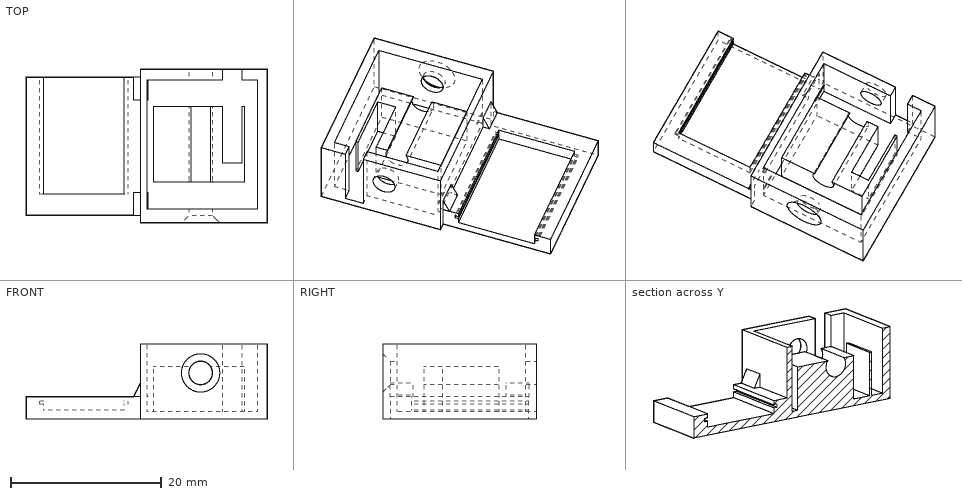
import cadquery as cq


housing_length = 16.9
housing_width = 20.45
housing_height = 10.0
wall_left = 0.9
wall_right = 1.33
wall_front = 1.85
wall_back = 1.45
floor_thickness = 1.0

tray_length = 15.21
tray_width = 18.4
tray_height = 3.0
tray_front_y = 1.0
tray_back_y = tray_front_y + tray_width

recess_floor_z = 1.2
recess_left_x = 2.3
recess_length = 10.75
recess_front_rim = 2.83
groove_bottom_z = 2.0
groove_height = 0.4
groove_depth = 0.5

ridge_length = 3.05
ridge_base = 1.9
ridge_rise = 1.9
ridge_left_x = 14.3
ridge_overhang = 0.02

block_left_x = 16.95
block_length = 12.1
block_front_y = 5.45
block_width = 10.0
block_top_z = 7.0

bore_diameter = 3.1
bore_x = 23.22
bore_z = 6.14
countersink_diameter = 5.1
countersink_depth = 1.0

slot_left_x = 26.15
slot_width = 2.55
slot_front_y = 7.95

housing_left_x = tray_length


def box_at(x, y, z, length, width, height):
    """Box given by its lowest corner and its size along X, Y and Z."""
    return cq.Workplane("XY").box(length, width, height, centered=False).translate((x, y, z))


def make_housing():
    shell = box_at(housing_left_x, 0, 0, housing_length, housing_width, housing_height)
    cavity = box_at(
        housing_left_x + wall_left,
        wall_front,
        floor_thickness,
        housing_length - wall_left - wall_right,
        housing_width - wall_front - wall_back,
        housing_height - floor_thickness,
    )
    return shell.cut(cavity)


def make_block():
    block_height = block_top_z - floor_thickness
    return box_at(block_left_x, block_front_y, floor_thickness, block_length, block_width, block_height)


def make_tray():
    tray = box_at(0, tray_front_y, 0, tray_length, tray_width, tray_height)
    recess_front_y = tray_front_y + recess_front_rim
    recess_width = tray_back_y - recess_front_y
    recess = box_at(
        recess_left_x,
        recess_front_y,
        recess_floor_z,
        recess_length,
        recess_width,
        tray_height - recess_floor_z,
    )
    side_grooves = box_at(
        recess_left_x - groove_depth,
        recess_front_y,
        groove_bottom_z,
        recess_length + 2 * groove_depth,
        recess_width,
        groove_height,
    )
    return tray.cut(recess).cut(side_grooves)


def make_ridge(front_y):
    """Triangular ridge along Y; its far foot just breaks through the housing's left wall."""
    profile = [
        (ridge_left_x, tray_height),
        (ridge_left_x + ridge_base, tray_height),
        (ridge_left_x + ridge_base / 2, tray_height + ridge_rise),
    ]
    ridge = cq.Workplane("XZ").polyline(profile).close().extrude(-ridge_length)
    return ridge.translate((0, front_y, 0))


def make_bore():
    bore_radius = bore_diameter / 2
    countersink_radius = countersink_diameter / 2
    axis_start = cq.Vector(bore_x, 0, bore_z)
    along_y = cq.Vector(0, 1, 0)
    bore = cq.Solid.makeCylinder(bore_radius, housing_width, axis_start, along_y)
    countersink = cq.Solid.makeCone(countersink_radius, bore_radius, countersink_depth, axis_start, along_y)
    return cq.Workplane(bore).union(cq.Workplane(countersink))


def make_slot():
    return box_at(
        slot_left_x,
        slot_front_y,
        floor_thickness,
        slot_width,
        housing_width - slot_front_y,
        housing_height - floor_thickness,
    )


result = make_housing().union(make_block()).union(make_tray())
front_ridge_y = tray_front_y - ridge_overhang
back_ridge_y = tray_back_y + ridge_overhang - ridge_length
for ridge_front_y in (front_ridge_y, back_ridge_y):
    result = result.union(make_ridge(ridge_front_y))
result = result.cut(make_bore()).cut(make_slot())